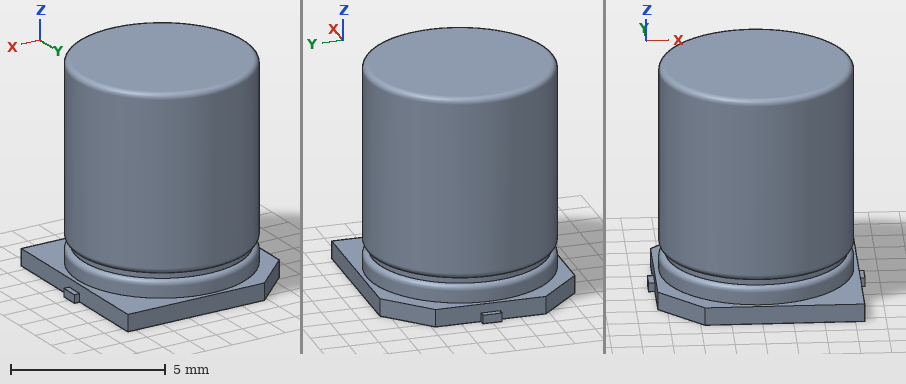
import cadquery as cq

total_height = 7.71
base_side = 6.6
base_height = 0.61
corner_cut = 1.435
terminal_span = 7.0
terminal_width = 0.65
terminal_height = 0.3
can_diameter = 6.3
edge_radius = 0.2
groove_bottom = 1.22
groove_top = 1.42

can_radius = can_diameter / 2
groove_radius = can_radius - edge_radius


def make_base():
    """Square base plate with both -X corners cut off."""
    plate = cq.Workplane("XY").box(base_side, base_side, base_height, centered=(True, True, False))
    return plate.edges("|Z and <X").chamfer(corner_cut)


def make_terminals():
    """Flat bar under the base whose ends stick out as the two terminals."""
    return cq.Workplane("XY").box(
        terminal_span, terminal_width, terminal_height, centered=(True, True, False)
    )


def make_cylinder(radius, bottom, top):
    """Upright cylinder on the Z axis between two heights."""
    return cq.Workplane("XY").workplane(offset=bottom).circle(radius).extrude(top - bottom)


def make_can():
    """Round can: a rounded foot, a narrow neck and a tall body rounded at both ends."""
    foot = make_cylinder(can_radius, base_height, groove_bottom).faces(">Z").edges().fillet(edge_radius)
    neck = make_cylinder(groove_radius, groove_bottom, groove_top)
    body = make_cylinder(can_radius, groove_top, total_height)
    body = body.faces("<Z or >Z").edges().fillet(edge_radius)
    return foot.union(neck).union(body)


result = make_base().union(make_terminals()).union(make_can())